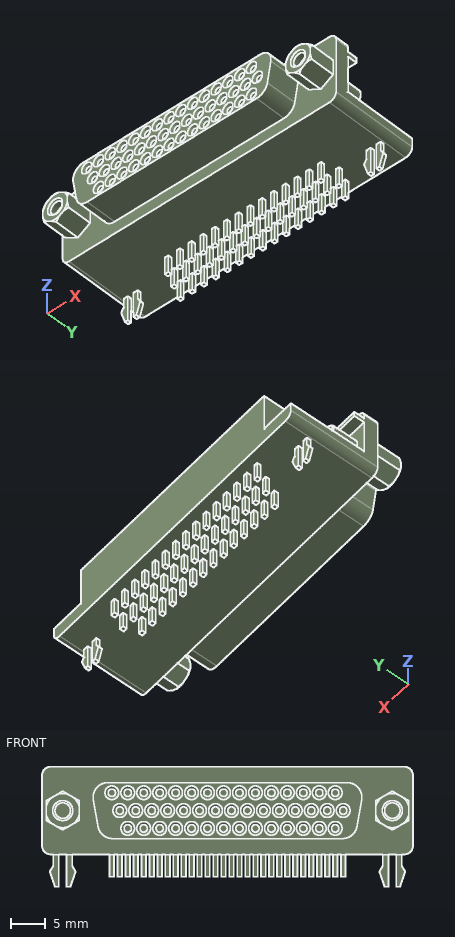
import cadquery as cq
import math


width = 53.05
flange_height = 12.55
flange_thickness = 2.55
corner_radius = 1.25
rear_y = 16.15
base_height = 2.9
housing_width = 41.0
housing_top = 10.6
ledge_rear_y = 4.35
ledge_thickness = 0.95
mid_z = flange_height / 2

shell_length = 5.8
shell_mid_width = 37.8
shell_height = 8.0
shell_side_angle = 10
shell_radius = 2.1

contact_pitch = 2.3
row_pitch = 2.55
socket_mouth_diameter = 1.95
socket_diameter = 1.05
socket_cone_depth = 0.45
socket_depth = 1.05
pin_size = 0.7
pin_length = 3.2
middle_pin_y = 11.5

contact_rows = [(1, 15, -0.25), (0, 15, 0.25), (-1, 14, 0.25)]

screw_x = 23.55
hex_flats = 4.8
hex_length = 4.85
hex_chamfer = 0.3
screw_hole_diameter = 2.25
screw_hole_mouth_diameter = 2.85
screw_hole_depth = 1.6
stud_diameter = 2.9
stud_end_y = 7.05
stud_chamfer = 0.15

latch_slot_half = 0.55
latch_leg_half = 1.4
latch_barb_half = 1.85
latch_tip_half = 1.1
latch_barb_start = 1.65
latch_barb_depth = 2.45
latch_length = 4.6


def box(x_size, y_start, y_end, z_start, z_end):
    """Box centred on X between the given Y and Z limits."""
    size = (x_size, y_end - y_start, z_end - z_start)
    return cq.Workplane("XY").box(*size, centered=(True, False, False)).translate((0, y_start, z_start))


def facing_front(y=0):
    """Sketch plane at the given Y whose extrusions run toward -Y."""
    return cq.Workplane("XZ", origin=(0, y, 0))


def make_body():
    flange = box(width, 0, flange_thickness, 0, flange_height).edges("|Y").fillet(corner_radius)
    base = box(width, 0, rear_y, 0, base_height).edges("|Y and <Z").fillet(corner_radius)
    housing = box(housing_width, 0, rear_y, 0, housing_top)
    ledge = box(width, 0, ledge_rear_y, housing_top - ledge_thickness, housing_top)
    return flange.union(base).union(housing).union(ledge)


def make_shell():
    taper = shell_height / 2 * math.tan(math.radians(shell_side_angle))
    top_half = shell_mid_width / 2 + taper
    bottom_half = shell_mid_width / 2 - taper
    top = mid_z + shell_height / 2
    bottom = mid_z - shell_height / 2
    outline = [(-top_half, top), (top_half, top), (bottom_half, bottom), (-bottom_half, bottom)]
    return facing_front().polyline(outline).close().extrude(shell_length).edges("|Y").fillet(shell_radius)


def row_positions(count, shift):
    """X positions of one row of contacts."""
    return [(i - (count - 1) / 2 + shift) * contact_pitch for i in range(count)]


def stepped_hole(mouth_diameter, diameter, cone_depth, depth):
    """Blind hole cutter opening at Y = 0 with a conical mouth, running toward +Y."""
    profile = [(0, 0), (mouth_diameter / 2, 0), (diameter / 2, cone_depth), (diameter / 2, depth), (0, depth)]
    return cq.Workplane("XY").polyline(profile).close().revolve(360, (0, 0, 0), (0, 1, 0))


def make_sockets():
    cutter = stepped_hole(socket_mouth_diameter, socket_diameter, socket_cone_depth, socket_depth).val()
    sockets = []
    for step, count, shift in contact_rows:
        for x in row_positions(count, shift):
            sockets.append(cutter.translate(cq.Vector(x, -shell_length, mid_z + step * row_pitch)))
    return cq.Workplane("XY").newObject([cq.Compound.makeCompound(sockets)])


def make_pins():
    """Pins under the base, the top contact row coming out furthest back."""
    points = []
    for step, count, shift in contact_rows:
        points += [(x, middle_pin_y + step * row_pitch) for x in row_positions(count, shift)]
    return cq.Workplane("XY").pushPoints(points).rect(pin_size, pin_size).extrude(-pin_length)


def make_jack_screw():
    """Hexagonal jack screw with a plain stud behind the flange, centred at X = 0."""
    hex_corners = hex_flats / math.cos(math.pi / 6)
    hexagon = facing_front().polygon(6, hex_corners).extrude(hex_length).rotate((0, 0, 0), (0, 1, 0), 30)
    rounding = facing_front().circle(hex_corners / 2).extrude(hex_length).faces("<Y").chamfer(hex_chamfer)
    stud = facing_front(stud_end_y).circle(stud_diameter / 2).extrude(stud_end_y)
    stud = stud.faces(">Y").chamfer(stud_chamfer)
    mouth_depth = (screw_hole_mouth_diameter - screw_hole_diameter) / 2
    hole = stepped_hole(screw_hole_mouth_diameter, screw_hole_diameter, mouth_depth, screw_hole_depth)
    screw = hexagon.intersect(rounding).union(stud).cut(hole.translate((0, -hex_length, 0)))
    return screw.translate((0, 0, mid_z))


def make_latch():
    """Pair of barbed legs below the base, centred at X = 0."""
    leg_outline = [
        (latch_slot_half, 0),
        (latch_leg_half, 0),
        (latch_leg_half, -latch_barb_start),
        (latch_barb_half, -latch_barb_depth),
        (latch_tip_half, -latch_length),
        (latch_slot_half, -latch_length),
    ]
    leg = facing_front(middle_pin_y + pin_size / 2).polyline(leg_outline).close().extrude(pin_size)
    return leg.union(leg.mirror("YZ"))


result = make_body().union(make_shell()).cut(make_sockets()).union(make_pins())
for side in (-1, 1):
    offset = (side * screw_x, 0, 0)
    result = result.union(make_jack_screw().translate(offset))
    result = result.union(make_latch().translate(offset))